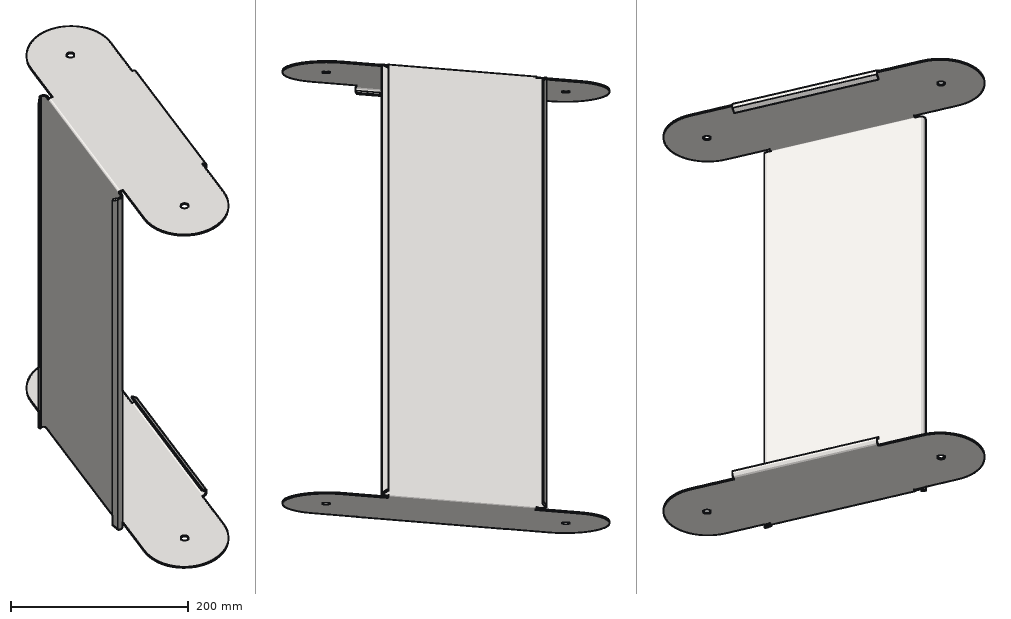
import cadquery as cq
import math

height = 500.0
plate_length = 385.0
plate_radius = 50.0
sheet = 2.0

fold_reach = 55.5
panel_width = 197.0
tab_width = 177.0
hem_wall = 8.0
lip_run = 5.5
lip_drop = 4.0
side_bend_radius = 5.0
front_bend_radius = 2.5

hem_end_gap = 2.0
lip_chamfer = 5.0
hole_diameter = 9.0
hole_spacing = 287.0

rear_bend_radius = fold_reach - plate_radius
panel_half = panel_width / 2
panel_back = -fold_reach + sheet
hem_depth = hem_wall + lip_drop
half_height = height / 2


def hem_outline(edge, start):
    """Section of a flat sheet from start to edge, folded down and then inward along the lip."""
    lip_turn = math.atan2(lip_run, lip_drop)
    inner_wall = hem_wall - sheet * math.tan(lip_turn / 2)
    return [
        (start, 0),
        (edge, 0),
        (edge, -hem_wall),
        (edge - lip_run, -hem_depth),
        (edge - lip_run - sheet * math.cos(lip_turn), -hem_depth + sheet * math.sin(lip_turn)),
        (edge - sheet, -inner_wall),
        (edge - sheet, -sheet),
        (start, -sheet),
    ]


def round_bend(body, radius, outer, inner):
    """Round the outer and inner edges of a bend whose edges pass near two points."""
    body = body.edges(cq.selectors.NearestToPointSelector(outer)).fillet(radius)
    return body.edges(cq.selectors.NearestToPointSelector(inner)).fillet(radius - sheet)


def side_hem():
    """Right half of the front panel with its hem and trimmed ends."""
    length = height - 2 * hem_end_gap
    half = cq.Workplane("XY").polyline(hem_outline(panel_half, 0)).close().extrude(length / 2, both=True)
    half = round_bend(half, side_bend_radius, (panel_half, 0, 0), (panel_half - sheet, -sheet, 0))
    for end in (1, -1):
        corner = (
            cq.Workplane("YZ")
            .moveTo(-hem_depth, end * length / 2)
            .lineTo(-hem_depth + lip_chamfer, end * length / 2)
            .lineTo(-hem_depth, end * (length / 2 - lip_chamfer))
            .close()
            .extrude(panel_width)
        )
        half = half.cut(corner)
    return half.translate((0, panel_back, 0))


def end_plate():
    """Top plate: slotted outline, two holes, rear hem and the bend down to the panel."""
    plate = (
        cq.Workplane("XY")
        .slot2D(plate_length, 2 * plate_radius)
        .extrude(-sheet)
        .cut(
            cq.Workplane("XY")
            .pushPoints([(-hole_spacing / 2, 0), (hole_spacing / 2, 0)])
            .circle(hole_diameter / 2)
            .extrude(-sheet)
        )
    )
    rear = cq.Workplane("YZ").polyline(hem_outline(fold_reach, 0)).close().extrude(tab_width / 2, both=True)
    rear = round_bend(rear, rear_bend_radius, (0, fold_reach, 0), (0, fold_reach - sheet, -sheet))
    front = (
        cq.Workplane("YZ")
        .polyline([
            (0, 0),
            (-fold_reach, 0),
            (-fold_reach, -hem_depth),
            (panel_back, -hem_depth),
            (panel_back, -sheet),
            (0, -sheet),
        ])
        .close()
        .extrude(tab_width / 2, both=True)
    )
    front = round_bend(front, front_bend_radius, (0, -fold_reach, 0), (0, panel_back, -sheet))
    return plate.union(rear).union(front).translate((0, 0, half_height))


middle = cq.Workplane("XY").box(tab_width, sheet, height - 2 * front_bend_radius)
middle = middle.translate((0, panel_back - sheet / 2, 0))

hem = side_hem().cut(cq.Workplane("XY").box(tab_width, 4 * plate_radius, height))
top_plate = end_plate()

result = (
    middle.union(hem)
    .union(hem.mirror("YZ"))
    .union(top_plate)
    .union(top_plate.mirror("XY"))
    .clean()
)